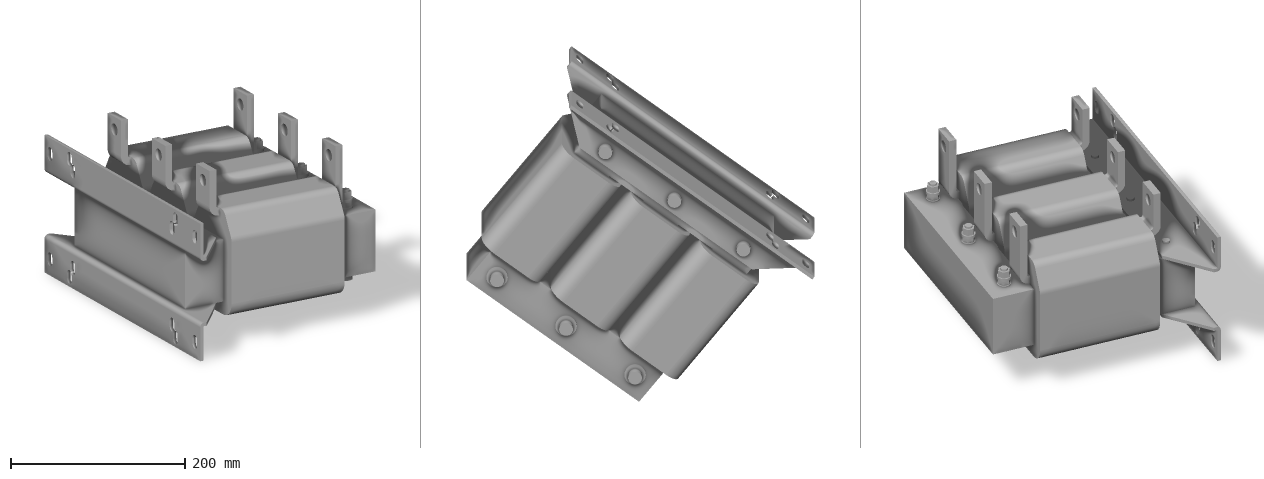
import cadquery as cq
import math


OVERLAP = 0.7

phase_pitch = 100.0
phase_x = (-phase_pitch, 0, phase_pitch)

bracket_length = 352.0
bracket_height = 46.0
sheet = 4.2
bend_outer_radius = 5.0
wing_start_y = 8.5
plate_back_y = 51.0
slot_width = 10.5
slot_length = 16.5
slot_places = ((163.7, 19.7), (119.7, 12.0), (112.0, 25.0))

limb_width = 50.0
core_width = 2 * phase_pitch + limb_width
core_front_y = 10.0
core_back_y = 263.3
core_bottom_z = bracket_height
core_height = 75.5
core_top_z = core_bottom_z + core_height
front_bolt_y = core_front_y + limb_width / 2
back_bolt_y = core_back_y - limb_width / 2

coil_length = 150.5
coil_front_y = (core_front_y + core_back_y - coil_length) / 2
coil_back_y = coil_front_y + coil_length
coil_half_width = 42.5
coil_bottom_z = 30.0
coil_shoulder_z = 126.7
coil_top_z = 157.7
coil_top_half_width = 25.5
coil_bottom_radius = 18.3
coil_top_radius = 11.5

terminal_top_z = 204.0
terminal_width = 30.3
terminal_thickness = 9.0
terminal_inner_radius = 3.0
terminal_reach = 13.0
terminal_hole_diameter = 14.5
terminal_hole_drop = 15.5
front_terminal_foot_z = 148.0
back_terminal_foot_z = 124.0

stud_diameter = 8.8
front_stud_height = 2.8
back_stud_height = 22.0
nut_corner_diameter = 14.8
lower_nut_top = 7.5
upper_nut_base = 11.3
upper_nut_top = 19.5
base_washer = (16.5, 1.5)
nut_washer = (16.0, 2.5)
nut_cover_washer = (16.5, upper_nut_base - lower_nut_top - nut_washer[1])
plain_washer = (24.5, 2.5)
bolt_collar = (16.0, 3.5)
bolt_head = (15.5, 6.0)


def block(x0, x1, y0, y1, z0, z1):
    return cq.Workplane("XY").box(x1 - x0, y1 - y0, z1 - z0, centered=False).translate((x0, y0, z0))


def disc(x, y, z, diameter, height):
    """Upright cylinder standing on height z."""
    return cq.Workplane("XY", origin=(x, y, z)).circle(diameter / 2).extrude(height)


def hex_nut(x, y, z, height):
    """Nut with two corners pointing along Y."""
    nut = cq.Workplane("XY").polygon(6, nut_corner_diameter).extrude(height)
    return nut.rotate((0, 0, 0), (0, 0, 1), 90).translate((x, y, z))


def make_core():
    half_width = core_width / 2
    core = block(-half_width, half_width, core_front_y, core_back_y, core_bottom_z, core_top_z)
    window_front_y = core_front_y + limb_width
    window_back_y = core_back_y - limb_width
    for side in (-1, 1):
        middle_x = side * phase_pitch / 2
        half_window = (phase_pitch - limb_width) / 2
        core = core.cut(block(middle_x - half_window, middle_x + half_window,
                              window_front_y, window_back_y, core_bottom_z, core_top_z))
    return core


def make_coil(x):
    """Winding with rounded lower corners and a tapered upper half."""
    half_outline = [
        (coil_half_width, coil_bottom_z),
        (coil_half_width, coil_shoulder_z),
        (coil_top_half_width, coil_top_z),
    ]
    mirrored = [(-u, z) for u, z in reversed(half_outline)]
    coil = (
        cq.Workplane("XZ", origin=(x, coil_back_y, 0))
        .polyline(half_outline + mirrored)
        .close()
        .extrude(coil_length)
    )
    radii = (coil_bottom_radius, coil_top_radius, coil_top_radius)
    middle_y = (coil_front_y + coil_back_y) / 2
    for side in (-1, 1):
        for (half_width, z), radius in zip(half_outline, radii):
            corner = cq.selectors.NearestToPointSelector((x + side * half_width, middle_y, z))
            coil = coil.edges(corner).fillet(radius)
    return coil


def make_terminal(x, coil_end_y, outward, foot_z):
    """Busbar bent upwards out of a coil end; outward is the sign of its Y direction."""
    outer_radius = terminal_inner_radius + terminal_thickness
    bend_u = terminal_reach - outer_radius
    bend_z = foot_z + outer_radius
    inner_u = terminal_reach - terminal_thickness
    diagonal = math.sqrt(0.5)
    outer_mid = (bend_u + outer_radius * diagonal, bend_z - outer_radius * diagonal)
    inner_mid = (bend_u + terminal_inner_radius * diagonal, bend_z - terminal_inner_radius * diagonal)
    bar = (
        cq.Workplane("YZ", origin=(x, 0, 0))
        .moveTo(-OVERLAP, foot_z)
        .lineTo(bend_u, foot_z)
        .threePointArc(outer_mid, (terminal_reach, bend_z))
        .lineTo(terminal_reach, terminal_top_z)
        .lineTo(inner_u, terminal_top_z)
        .lineTo(inner_u, bend_z)
        .threePointArc(inner_mid, (bend_u, foot_z + terminal_thickness))
        .lineTo(-OVERLAP, foot_z + terminal_thickness)
        .close()
        .extrude(terminal_width / 2, both=True)
    )
    hole = (
        cq.Workplane("XZ", origin=(x, 0, terminal_top_z - terminal_hole_drop))
        .circle(terminal_hole_diameter / 2)
        .extrude(terminal_reach, both=True)
    )
    bar = bar.cut(hole)
    if outward < 0:
        bar = bar.mirror("XZ")
    return bar.translate((0, coil_end_y, 0))


def make_lower_bracket():
    """Angle bracket with a tapered plate under the core and a slotted flange hanging down."""
    half_length = bracket_length / 2
    half_width = core_width / 2
    plate = (
        cq.Workplane("XY", origin=(0, 0, bracket_height - sheet))
        .polyline([
            (-half_length, 0), (half_length, 0), (half_length, wing_start_y),
            (half_width, plate_back_y), (-half_width, plate_back_y), (-half_length, wing_start_y),
        ])
        .close()
        .extrude(sheet)
    )
    flange = block(-half_length, half_length, 0, sheet, 0, bracket_height)
    outer_edge = cq.selectors.NearestToPointSelector((0, 0, bracket_height))
    inner_edge = cq.selectors.NearestToPointSelector((0, sheet, bracket_height - sheet))
    bracket = plate.union(flange)
    bracket = bracket.edges(inner_edge).fillet(bend_outer_radius - sheet)
    bracket = bracket.edges(outer_edge).fillet(bend_outer_radius)
    slot_points = [(side * x, z) for x, z in slot_places for side in (-1, 1)]
    for point in slot_points:
        slot = (
            cq.Workplane("XZ")
            .center(*point)
            .slot2D(slot_length, slot_width, 90)
            .extrude(-sheet)
        )
        bracket = bracket.cut(slot)
    return bracket


def make_upper_bracket():
    core_middle_z = core_bottom_z + core_height / 2
    return make_lower_bracket().mirror("XY", (0, 0, core_middle_z))


def hanging_stack(x, y, top_z, parts):
    """Stack of discs hanging below top_z, sunk slightly into what is above."""
    stack = disc(x, y, top_z - parts[0][1], parts[0][0], parts[0][1] + OVERLAP)
    z = top_z - parts[0][1]
    for diameter, height in parts[1:]:
        z -= height
        stack = stack.union(disc(x, y, z, diameter, height))
    return stack


def make_front_bolt(x):
    stud_top_z = core_top_z + sheet + front_stud_height
    stud = disc(x, front_bolt_y, core_top_z, stud_diameter, stud_top_z - core_top_z)
    head = hanging_stack(x, front_bolt_y, core_bottom_z - sheet, (bolt_collar, bolt_head))
    return stud, head


def make_back_bolt(x):
    y = back_bolt_y
    washer_z = core_top_z + lower_nut_top
    upper_nut_z = core_top_z + upper_nut_base
    top = disc(x, y, core_top_z - OVERLAP, stud_diameter, back_stud_height + OVERLAP)
    top = top.union(disc(x, y, core_top_z, *base_washer))
    top = top.union(hex_nut(x, y, core_top_z, lower_nut_top))
    top = top.union(disc(x, y, washer_z, *nut_washer))
    top = top.union(disc(x, y, washer_z + nut_washer[1], *nut_cover_washer))
    top = top.union(hex_nut(x, y, upper_nut_z, upper_nut_top - upper_nut_base))
    head = hanging_stack(x, y, core_bottom_z, (plain_washer, bolt_head, bolt_collar))
    return top, head


result = make_core().union(make_lower_bracket()).union(make_upper_bracket())
for x in phase_x:
    result = result.union(make_coil(x))
    result = result.union(make_terminal(x, coil_front_y, -1, front_terminal_foot_z))
    result = result.union(make_terminal(x, coil_back_y, 1, back_terminal_foot_z))
    for bolt_part in make_front_bolt(x) + make_back_bolt(x):
        result = result.union(bolt_part)